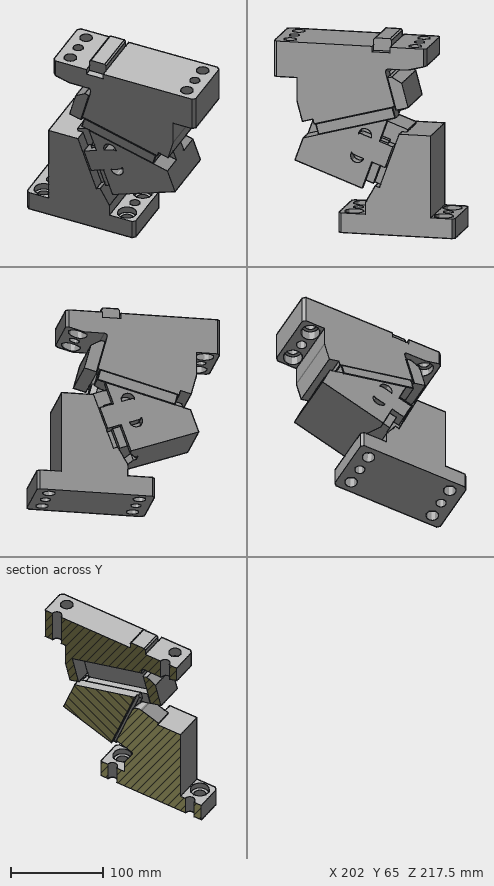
import cadquery as cq
import math

body_width = 64.8
base_shift_y = -0.2
corner_chamfer = 3.0

bolt_offset_y = 20.0
bolt_diameter = 13.5
counterbore_diameter = 20.5
dowel_diameter = 10.9

base_length = 130.0
flange_height = 22.0
base_hole_inset = 15.0
base_counterbore_depth = 7.2
tower_left = 26.8
tower_right = 99.8
tower_height = 113.3
tower_shoulder = 35.0

guide_angle = 20.0
guide_origin = (62.0, tower_height)
guide_bottom = -64.5
ledge_length = 5.0

guide_top = 4.8
guide_root = -5.5
guide_front = 17.6
vee_floor = 27.8
vee_floor_half_width = 4.5
guide_half_width = 19.5
rail_half_width = 26.3
rail_back = 8.7
rail_top = -13.0

slider_bottom = -72.9
slider_end = 97.5
vee_relief_depth = 3.5
stem_half_width = 9.5
stem_height = 13.0
stem_start = 15.2

hook_tip = 1.7
hook_end = 42.5
hook_top = -16.0
hook_bottom = -41.0
hook_corner_radius = 3.3
relief_u = 34.8
relief_radius = 7.5

slide_angle = -15.0
slide_origin = (66.1, 131.0)
strip_length = 89.2
strip_height = 12.6
strip_edge_chamfer = 0.7
strip_lead_width = 5.0
strip_lead_length = 6.5

holder_left = 31.8
holder_right = 202.0
holder_top = 209.7
nose_bottom = 190.5
nose_slope_end = 51.8
nose_underside = 185.3
heel_underside = 170.0
inner_fillet = 3.3
face_p = -2.5
notch_p = 90.7
notch_q = 17.8
heel_p = 102.9
heel_q = 40.9
channel_half_width = 17.5
channel_roof = 49.2
holder_hole_left = 47.0
holder_hole_right = 186.8
holder_counterbore_depth = 13.0

plate_front = -17.0
plate_bottom = 8.5
plate_top = 45.2
plate_corner = 9.1
plate_back_chamfer = 0.9

key_left = 72.2
key_length = 20.0
key_seat = 203.5
key_top = 217.5
key_width = 49.5
key_chamfer = 1.7

half_width = body_width / 2
reach = 217.5


def tilted_point(origin, angle, along, across):
    """X and Z of a point given in a frame turned by angle about Y."""
    a = math.radians(angle)
    x = origin[0] + along * math.cos(a) - across * math.sin(a)
    z = origin[1] + along * math.sin(a) + across * math.cos(a)
    return x, z


def guide_point(u, v):
    return tilted_point(guide_origin, guide_angle, u, v)


def slide_point(p, q):
    return tilted_point(slide_origin, slide_angle, p, q)


def tilted_box(origin, angle, along, across, y_range):
    """Box in a turned frame, from (min, max) along, across and in Y."""
    box = cq.Workplane("XY").box(
        along[1] - along[0], y_range[1] - y_range[0], across[1] - across[0], centered=False
    )
    box = box.translate((along[0], y_range[0], across[0]))
    box = box.rotate((0, 0, 0), (0, 1, 0), -angle)
    return box.translate((origin[0], 0, origin[1]))


def guide_box(u, v, y_range):
    return tilted_box(guide_origin, guide_angle, u, v, y_range)


def slide_box(p, q, y_range):
    return tilted_box(slide_origin, slide_angle, p, q, y_range)


def full_width_profile(points):
    """Closed XZ outline extruded over the body width, centred on Y."""
    return cq.Workplane("XZ").polyline(points).close().extrude(half_width, both=True)


def both_sides(shape):
    """The shape together with its mirror image across the XZ plane."""
    return shape.union(shape.mirror("XZ"))


def vertical_cylinder(x, y, diameter, z_low, z_high):
    disc = cq.Workplane("XY", origin=(x, y, z_low)).circle(diameter / 2)
    return disc.extrude(z_high - z_low)


def hole_row(x, z_low, z_high, counterbore_low, counterbore_high):
    """Two counterbored bolt holes with a dowel hole between them."""
    row = vertical_cylinder(x, 0, dowel_diameter, z_low, z_high)
    for y in (-bolt_offset_y, bolt_offset_y):
        row = row.union(vertical_cylinder(x, y, bolt_diameter, z_low, z_high))
        row = row.union(vertical_cylinder(x, y, counterbore_diameter, counterbore_low, counterbore_high))
    return row


def vee_prism():
    """Trapezoidal prism shared by the ridge of the guide and the groove of the slider."""
    start_x, start_z = guide_point(0, slider_bottom)
    a = math.radians(guide_angle)
    section = cq.Plane(
        origin=(start_x, 0, start_z),
        xDir=(math.cos(a), 0, math.sin(a)),
        normal=(-math.sin(a), 0, math.cos(a)),
    )
    outline = [
        (guide_front, -rail_half_width),
        (vee_floor, -vee_floor_half_width),
        (vee_floor, vee_floor_half_width),
        (guide_front, rail_half_width),
    ]
    return cq.Workplane(section).polyline(outline).close().extrude(reach)


def tee_guide():
    """Stem with a wider rail at its front, a vee ridge and a rounded upper end."""
    stem = guide_box(
        (guide_root, vee_floor), (guide_bottom, guide_top), (-guide_half_width, guide_half_width)
    )
    lead_corner = guide_point(vee_floor, guide_top)
    lead_edge = cq.selectors.NearestToPointSelector((lead_corner[0], 0, lead_corner[1]))
    stem = stem.edges("|Y").edges(lead_edge).fillet(vee_floor - guide_front)
    rail = guide_box(
        (rail_back, vee_floor), (guide_bottom, rail_top), (-rail_half_width, rail_half_width)
    )
    behind_ridge = guide_box((-reach, guide_front), (-reach, reach), (-half_width, half_width))
    return stem.union(rail).intersect(behind_ridge.union(vee_prism()))


def make_base():
    flange = cq.Workplane("XY").box(base_length, body_width, flange_height, centered=(False, True, False))
    flange = flange.edges("|Z").chamfer(corner_chamfer)
    tower = full_width_profile([
        (tower_left, 0),
        (tower_left, tower_height),
        guide_origin,
        guide_point(0, guide_bottom),
        guide_point(ledge_length, guide_bottom),
        (tower_right, tower_shoulder),
        (tower_right, 0),
    ])
    base = flange.union(tower)
    seat = flange_height - base_counterbore_depth
    for x in (base_hole_inset, base_length - base_hole_inset):
        base = base.cut(hole_row(x, 0, flange_height, seat, flange_height))
    return base.translate((0, base_shift_y, 0)).union(tee_guide())


def groove_relief():
    """Slot along the floor of the vee groove."""
    return guide_box(
        (guide_front, vee_floor + vee_relief_depth),
        (slider_bottom, reach),
        (-vee_floor_half_width, vee_floor_half_width),
    )


def hook_plate():
    """Plate flush with the -Y side, shaped to fit round the guide rail and grip its back."""
    plate = guide_box((hook_tip, hook_end), (hook_bottom, hook_top), (-half_width, -guide_half_width))
    for v in (hook_bottom, hook_top):
        x, z = guide_point(hook_end, v)
        far_edge = cq.selectors.NearestToPointSelector((x, -half_width, z))
        plate = plate.edges("|Y").edges(far_edge).fillet(hook_corner_radius)
    return plate.cut(tee_guide())


def corner_reliefs():
    """Round pockets in the -Y side at the far corners of the hook plate."""
    centers = [guide_point(relief_u, v) for v in (hook_top, hook_bottom)]
    plane = cq.Workplane("XZ", origin=(0, -guide_half_width, 0))
    return plane.pushPoints(centers).circle(relief_radius).extrude(half_width - guide_half_width)


def make_slider():
    full_y = (-half_width, half_width)
    envelope = guide_box((guide_front, slider_end), (slider_bottom, reach), full_y)
    wedge = envelope.cut(slide_box((-reach, reach), (0, reach), full_y))
    stem = slide_box((stem_start, reach), (0, stem_height), (-stem_half_width, stem_half_width))
    slider = wedge.union(stem.intersect(envelope)).cut(vee_prism()).cut(groove_relief())
    slider = slider.cut(both_sides(corner_reliefs()))
    return slider.union(both_sides(hook_plate()))


def holder_block():
    foot_x, foot_z = slide_point(face_p, 0)
    inner_x = foot_x - (nose_underside - foot_z) * math.tan(math.radians(slide_angle))
    heel = slide_point(heel_p, heel_q)
    block = full_width_profile([
        (holder_left, holder_top),
        (holder_left, nose_bottom),
        (nose_slope_end, nose_underside),
        (inner_x, nose_underside),
        slide_point(face_p, strip_height),
        slide_point(notch_p, strip_height),
        slide_point(notch_p, notch_q),
        slide_point(heel_p, notch_q),
        heel,
        (heel[0], heel_underside),
        (holder_right, heel_underside),
        (holder_right, holder_top),
    ])
    block = block.edges("|Z").edges("<X or >X").chamfer(corner_chamfer)
    inner_corner = cq.selectors.NearestToPointSelector((inner_x, 0, nose_underside))
    block = block.edges("|Y").edges(inner_corner).fillet(inner_fillet)
    channel = slide_box(
        (face_p, notch_p), (strip_height, channel_roof), (-channel_half_width, channel_half_width)
    )
    return block.cut(channel)


def wear_strip():
    """Strip on the -Y side that carries the slider next to its stem."""
    origin_x, origin_z = slide_origin
    strip = (
        cq.Workplane("XY")
        .polyline([
            (0, -half_width),
            (strip_length, -half_width),
            (strip_length, -stem_half_width),
            (strip_lead_length, -stem_half_width),
            (0, -stem_half_width - strip_lead_width),
        ])
        .close()
        .extrude(strip_height)
        .faces("<Y").edges().chamfer(strip_edge_chamfer)
    )
    strip = strip.rotate((0, 0, 0), (0, 1, 0), -slide_angle)
    return strip.translate((origin_x, 0, origin_z))


def end_plate():
    plate = cq.Workplane("XY").box(
        face_p - plate_front, body_width, plate_top - plate_bottom, centered=(False, True, False)
    )
    plate = plate.edges("<X and >Z").chamfer(plate_corner)
    plate = plate.edges(">X and |Z").chamfer(plate_back_chamfer)
    plate = plate.translate((plate_front, 0, plate_bottom))
    plate = plate.rotate((0, 0, 0), (0, 1, 0), -slide_angle)
    return plate.translate((slide_origin[0], 0, slide_origin[1]))


def key():
    bar = cq.Workplane("XY", origin=(key_left, 0, key_seat)).box(
        key_length, key_width, key_top - key_seat, centered=(False, True, False)
    )
    return bar.edges("|Y and >Z").chamfer(key_chamfer)


def key_seat_slot():
    return cq.Workplane("XY", origin=(key_left, 0, key_seat)).box(
        key_length, body_width, holder_top - key_seat, centered=(False, True, False)
    )


def make_holder():
    holder = holder_block().cut(key_seat_slot()).union(key())
    nose_holes = hole_row(
        holder_hole_left, nose_underside, holder_top,
        nose_underside, nose_underside + holder_counterbore_depth,
    )
    heel_holes = hole_row(
        holder_hole_right, heel_underside, holder_top,
        heel_underside, heel_underside + holder_counterbore_depth,
    )
    holder = holder.cut(nose_holes).cut(heel_holes)
    return holder.union(both_sides(wear_strip())).union(end_plate())


base = make_base()
slider = make_slider()
holder = make_holder()

bodies = [base, slider, holder]
result = cq.Compound.makeCompound([body.solids().val() for body in bodies])